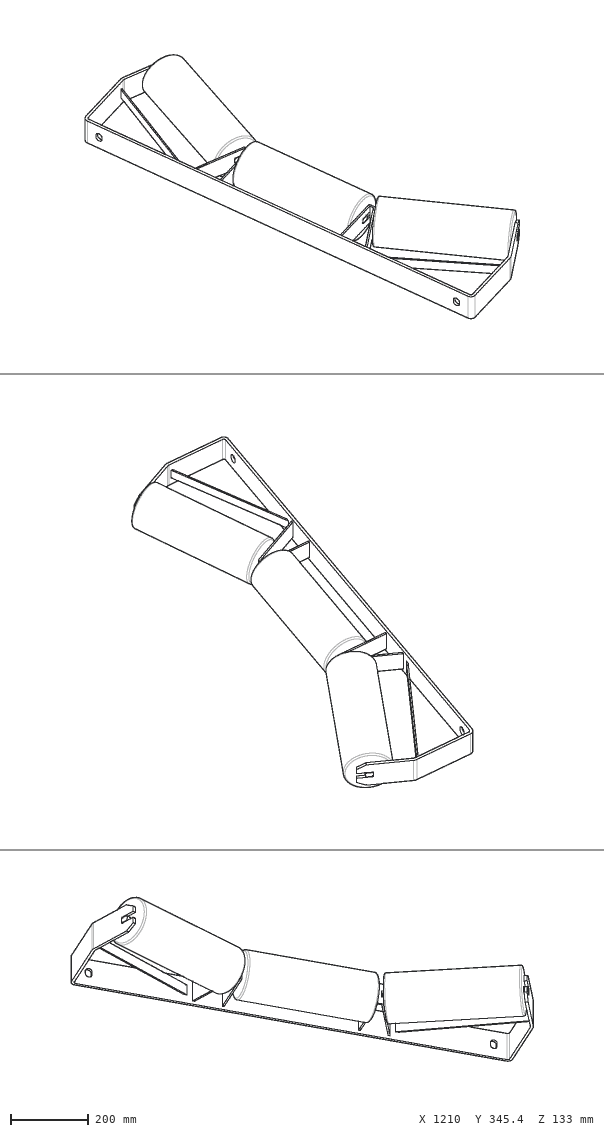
import cadquery as cq
import math


frame_length = 1210.0
strip_width = 80.0
strip_thickness = 8.0
corner_radius = 13.0
wall_height = 183.0
wall_bend_radius = 20.0
arm_tip_height = 322.0
tip_chamfer_along = 25.0
tip_chamfer_across = 15.0
trough_angle = 25.0

slot_offset = 555.0
slot_width = 18.0
slot_length = 25.0

roller_diameter = 133.0
roller_length = 360.0
roller_edge_radius = 4.2
end_gap = 4.0
shaft_diameter = 22.0
shaft_flats = 15.0
shaft_slot_width = 18.0
shaft_slot_corner = 4.0
center_axis_height = 126.0
wing_axis_offset = 30.0

bracket_width = 60.0
bracket_thickness = 5.0
bracket_top = 152.0

brace_thickness = 4.2
brace_width = 30.0
brace_wall_height = 172.0
brace_foot = 285.0

half_frame = frame_length / 2
half_roller = roller_length / 2
half_strip = strip_width / 2
sine = math.sin(math.radians(trough_angle))
cosine = math.cos(math.radians(trough_angle))
arm_outer_face = -half_frame * cosine - wall_height * sine
wing_center = arm_outer_face + strip_thickness + end_gap + half_roller
lean_near_face = wing_center + half_roller + end_gap
lean_far_face = lean_near_face + bracket_thickness
upright_near_face = half_roller + end_gap
upright_far_face = upright_near_face + bracket_thickness


def wing_point(along_axis, along_arm):
    """XY position from distances along the left wing roller's axis and along its arm."""
    return (along_axis * cosine + along_arm * sine, -along_axis * sine + along_arm * cosine)


def plate(points, width):
    """Flat XY outline extruded symmetrically about Z = 0."""
    return cq.Workplane("XY", origin=(0, 0, -width / 2)).polyline(points).close().extrude(width)


def mirrored(body):
    return body.mirror("YZ")


def place_center(body):
    """Move a body built along X at the origin to the centre roller's axis."""
    return body.translate((0, center_axis_height, 0))


def place_wing(body):
    """Move a body built along X at the origin to the left wing roller's axis."""
    x, y = wing_point(wing_center, wing_axis_offset)
    return body.rotate((0, 0, 0), (0, 0, 1), -trough_angle).translate((x, y, 0))


def shaft(start, end):
    """Round shaft along X, from start to end, with two flats facing +Z and -Z."""
    rod = cq.Workplane("YZ", origin=(start, 0, 0)).circle(shaft_diameter / 2).extrude(end - start)
    flats = cq.Workplane("YZ", origin=(start, 0, 0)).rect(shaft_diameter, shaft_flats).extrude(end - start)
    return rod.intersect(flats)


def roller(reach_left, reach_right):
    """Roller along X, with its shaft ends reaching the given distances from the middle."""
    barrel = cq.Workplane("YZ", origin=(-half_roller, 0, 0)).circle(roller_diameter / 2).extrude(roller_length)
    barrel = barrel.edges("%CIRCLE").fillet(roller_edge_radius)
    return barrel.union(shaft(-reach_left, reach_right))


def shaft_slot(start, end):
    """Cutter along X: a slot open toward +Y, on whose floor the shaft rests."""
    depth = roller_diameter / 2
    slot = cq.Workplane("XY").box(end - start, depth, shaft_slot_width, centered=(False, False, True))
    return slot.edges("|X and <Y").fillet(shaft_slot_corner).translate((start, -shaft_diameter / 2, 0))


outer_reach = half_roller + end_gap + strip_thickness
inner_reach = half_roller + end_gap + bracket_thickness
center_roller = place_center(roller(inner_reach, inner_reach))
wing_roller = place_wing(roller(outer_reach, inner_reach))


def build_frame():
    arm_tip = (-half_frame + (arm_tip_height - wall_height) * sine / cosine, arm_tip_height)
    outer = [(-half_frame, 0), (-half_frame, wall_height), arm_tip]
    inner_wall_x = -half_frame + strip_thickness
    inner_bend_y = (-(arm_outer_face + strip_thickness) + inner_wall_x * cosine) / sine
    inner = [
        (arm_tip[0] + strip_thickness * cosine, arm_tip[1] - strip_thickness * sine),
        (inner_wall_x, inner_bend_y),
        (inner_wall_x, strip_thickness),
    ]
    left_side = outer + inner
    right_side = [(-x, y) for x, y in reversed(left_side)]
    frame = plate(left_side + right_side, strip_width)

    def round_bend(body, corner, radius):
        for side in (1, -1):
            nearest = cq.selectors.NearestToPointSelector((side * corner[0], corner[1], 0))
            body = body.edges("|Z").edges(nearest).fillet(radius)
        return body

    frame = round_bend(frame, outer[0], corner_radius)
    frame = round_bend(frame, inner[2], corner_radius - strip_thickness)
    frame = round_bend(frame, outer[1], wall_bend_radius)
    frame = round_bend(frame, inner[1], wall_bend_radius - strip_thickness)

    tip = arm_tip[0] * sine + arm_tip[1] * cosine - wing_axis_offset
    corner_cut = (
        cq.Workplane("YZ", origin=(-outer_reach, 0, 0))
        .moveTo(tip - tip_chamfer_along, half_strip)
        .lineTo(tip, half_strip - tip_chamfer_across)
        .lineTo(tip, half_strip)
        .close()
        .extrude(strip_thickness)
    )
    seat = shaft_slot(-outer_reach, -outer_reach + strip_thickness)
    arm_cut = place_wing(seat.union(corner_cut).union(corner_cut.mirror("XY")))
    frame = frame.cut(arm_cut).cut(mirrored(arm_cut))

    mounting_slots = (
        cq.Workplane("XZ")
        .pushPoints([(-slot_offset, 0), (slot_offset, 0)])
        .slot2D(slot_length, slot_width, 90)
        .extrude(strip_thickness, both=True)
    )
    return frame.cut(mounting_slots)


def build_bracket():
    """Left bracket: a leaning leg, a short level top and an upright leg, folded from one strip."""

    def lean_at(axis_distance, y):
        along_arm = (y + axis_distance * sine) / cosine
        return wing_point(axis_distance, along_arm)

    under_top = bracket_top - bracket_thickness
    bracket = plate(
        [
            lean_at(lean_near_face, strip_thickness),
            lean_at(lean_near_face, bracket_top),
            (-upright_near_face, bracket_top),
            (-upright_near_face, strip_thickness),
            (-upright_far_face, strip_thickness),
            (-upright_far_face, under_top),
            lean_at(lean_far_face, under_top),
            lean_at(lean_far_face, strip_thickness),
        ],
        bracket_width,
    )
    wing_seat = place_wing(shaft_slot(half_roller + end_gap, inner_reach))
    center_seat = place_center(shaft_slot(-inner_reach, -half_roller - end_gap))
    return bracket.cut(wing_seat).cut(center_seat)


def build_brace():
    """Left brace: a flat bar from the frame wall down to the base."""
    wall_x = -half_frame + strip_thickness
    slope = (brace_wall_height - strip_thickness) / (-brace_foot - wall_x)
    drop = brace_thickness * math.hypot(1, slope)
    return plate(
        [
            (wall_x, brace_wall_height),
            (-brace_foot, strip_thickness),
            (-brace_foot - drop / slope, strip_thickness),
            (wall_x, brace_wall_height - drop),
        ],
        brace_width,
    )


frame = build_frame()
bracket = build_bracket()
brace = build_brace()
pairs = [body for left in (wing_roller, bracket, brace) for body in (left, mirrored(left))]

result = cq.Compound.makeCompound([frame.val(), center_roller.val(), *[body.val() for body in pairs]])